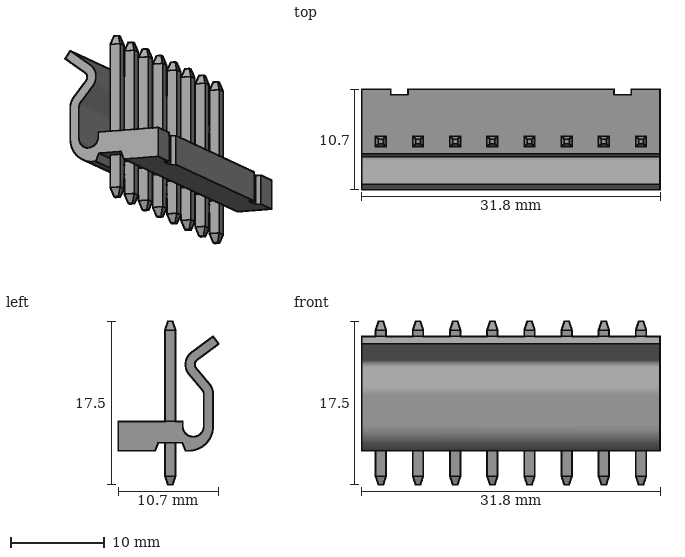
import cadquery as cq
import math


length = 31.8
back_y = 5.55
base_height = 3.15

groove_depth = 0.85
groove_half_top = 1.27
groove_half_bottom = 1.62

channel_radius = 1.1
channel_back_y = -1.35
channel_center_y = channel_back_y - channel_radius
channel_center_z = 2.65

wall = 1.02
wall_inner_y = channel_back_y - 2 * channel_radius
wall_outer_y = wall_inner_y - wall
heel_radius = channel_center_z
heel_center_y = wall_outer_y + heel_radius

shoulder_angle = 40.0
shoulder_radius = 1.72
shoulder_z = 6.05
slope_length = 2.2

lip_angle = 36.5
nose_inner_radius = 0.6
nose_radius = nose_inner_radius + wall
lip_length = 2.85

notch_width = 1.8
notch_depth = 0.57
notch_center_x = 11.9

pin_count = 8
end_margin = 2.05
pin_pitch = (length - 2 * end_margin) / (pin_count - 1)
pin_width = 1.15
pin_bottom = -3.62
pin_top = 13.83
pin_taper = 0.95
pin_tip_width = 0.5


def polar(center, radius, angle):
    """Point at the given angle (degrees, from +Y towards +Z) around a centre."""
    turn = math.radians(angle)
    return (center[0] + radius * math.cos(turn), center[1] + radius * math.sin(turn))


def make_body():
    """Base and locking wall as one profile extruded along X."""
    channel = (channel_center_y, channel_center_z)
    heel = (heel_center_y, heel_radius)

    wall_facing = 180
    slope_facing = wall_facing - shoulder_angle
    shoulder_middle = (wall_facing + slope_facing) / 2
    nose_start = -shoulder_angle
    nose_end = 90 - lip_angle
    nose_middle = (nose_start + nose_end) / 2

    shoulder = (wall_outer_y + shoulder_radius, shoulder_z)
    slope_start = polar(shoulder, shoulder_radius + nose_inner_radius, slope_facing)
    nose = polar(slope_start, slope_length, slope_facing - 90)
    shoulder_inner_radius = shoulder_radius - wall
    lip_base = polar(nose, lip_length, nose_end + 90)

    profile = (
        cq.Workplane("YZ", origin=(-length / 2, 0, 0))
        .moveTo(back_y, 0)
        .lineTo(back_y, base_height)
        .lineTo(channel_back_y, base_height)
        .lineTo(channel_back_y, channel_center_z)
        .threePointArc(polar(channel, channel_radius, -90), polar(channel, channel_radius, 180))
        .lineTo(wall_inner_y, shoulder_z)
        .threePointArc(
            polar(shoulder, shoulder_inner_radius, shoulder_middle),
            polar(shoulder, shoulder_inner_radius, slope_facing),
        )
        .lineTo(*polar(nose, nose_radius, nose_start))
        .threePointArc(polar(nose, nose_radius, nose_middle), polar(nose, nose_radius, nose_end))
        .lineTo(*polar(lip_base, nose_radius, nose_end))
        .lineTo(*polar(lip_base, nose_inner_radius, nose_end))
        .lineTo(*polar(nose, nose_inner_radius, nose_end))
        .threePointArc(
            polar(nose, nose_inner_radius, nose_middle),
            polar(nose, nose_inner_radius, nose_start),
        )
        .lineTo(*polar(shoulder, shoulder_radius, slope_facing))
        .threePointArc(
            polar(shoulder, shoulder_radius, shoulder_middle),
            polar(shoulder, shoulder_radius, wall_facing),
        )
        .lineTo(wall_outer_y, heel_radius)
        .threePointArc(polar(heel, heel_radius, 225), polar(heel, heel_radius, 270))
        .lineTo(-groove_half_bottom, 0)
        .lineTo(-groove_half_top, groove_depth)
        .lineTo(groove_half_top, groove_depth)
        .lineTo(groove_half_bottom, 0)
        .close()
    )
    return profile.extrude(length)


def make_notches():
    """Two full-height notches in the back face of the base."""
    return (
        cq.Workplane("XY")
        .pushPoints([(-notch_center_x, back_y), (notch_center_x, back_y)])
        .rect(notch_width, 2 * notch_depth)
        .extrude(base_height)
    )


def make_pin(x):
    """Square pin with a blunt pyramid at both ends."""
    shaft_bottom = pin_bottom + pin_taper
    shaft_top = pin_top - pin_taper
    shaft = cq.Workplane("XY", origin=(x, 0, shaft_bottom)).rect(pin_width, pin_width)
    pin = shaft.extrude(shaft_top - shaft_bottom)
    for tip_base, rise in ((shaft_top, pin_taper), (shaft_bottom, -pin_taper)):
        tip = (
            cq.Workplane("XY", origin=(x, 0, tip_base))
            .rect(pin_width, pin_width)
            .workplane(offset=rise)
            .rect(pin_tip_width, pin_tip_width)
            .loft()
        )
        pin = pin.union(tip)
    return pin


first_pin_x = end_margin - length / 2
result = make_body().cut(make_notches())
for index in range(pin_count):
    result = result.union(make_pin(first_pin_x + index * pin_pitch))